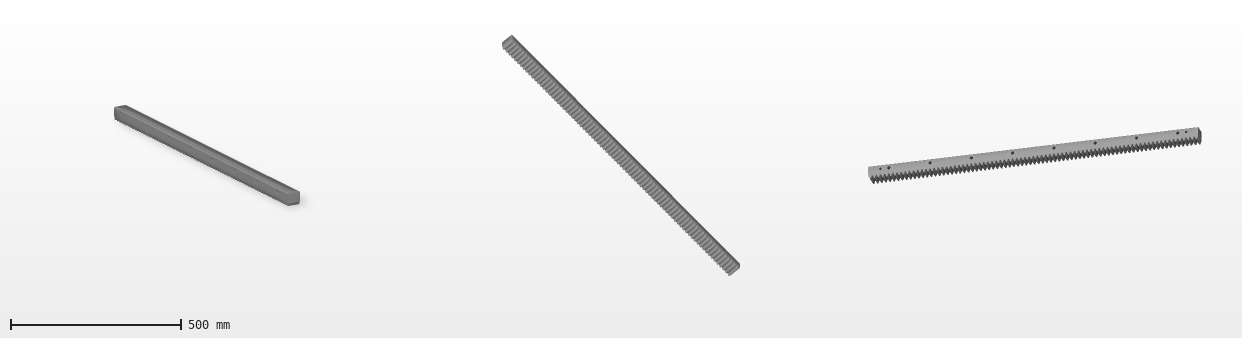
import cadquery as cq
import math


module = 4.0
pressure_angle = math.radians(20)
tooth_count = 80
pitch = math.pi * module
addendum = module
dedendum = 1.25 * module

nominal_length = tooth_count * pitch
length = 1004.58
width = 39.0
height = 39.0
edge_chamfer = 2.0

hole_depth_from_top = 12.0
screw_hole_diameter = 10.0
screw_hole_count = 8
screw_hole_spacing = 10 * pitch
dowel_hole_diameter = 7.7
dowel_hole_end_distance = 37.4

pitch_line_z = addendum
root_z = addendum + dedendum
hole_z = height - hole_depth_from_top


def tooth_center_x(index):
    """X of a tooth, with the row of teeth centred on X = 0."""
    return (index - (tooth_count - 1) / 2) * pitch


def tooth_half_width(z):
    """Half the thickness of a straight-flanked tooth at level z."""
    return pitch / 4 + (z - pitch_line_z) * math.tan(pressure_angle)


def rack_profile():
    """Side outline in XZ: plain top and ends, teeth along the bottom."""
    root_half = tooth_half_width(root_z)
    tip_half = tooth_half_width(0)
    points = [(-length / 2, height), (-length / 2, root_z)]
    for index in range(tooth_count):
        x = tooth_center_x(index)
        points.append((x - root_half, root_z))
        points.append((x - tip_half, 0))
        points.append((x + tip_half, 0))
        points.append((x + root_half, root_z))
    points += [(length / 2, root_z), (length / 2, height)]
    return points


def make_bar():
    """Toothed bar centred in Y, with its front top edge chamfered."""
    bar = cq.Workplane("XZ").polyline(rack_profile()).close().extrude(width / 2, both=True)
    return bar.faces(">Z").edges("<Y").chamfer(edge_chamfer)


def cross_holes(x_positions, diameter):
    """Cylinders along Y, through the full width, at the hole level."""
    centers = [(x, hole_z) for x in x_positions]
    return cq.Workplane("XZ").pushPoints(centers).circle(diameter / 2).extrude(width, both=True)


screw_xs = [(i - (screw_hole_count - 1) / 2) * screw_hole_spacing for i in range(screw_hole_count)]
dowel_offset = nominal_length / 2 - dowel_hole_end_distance
dowel_xs = [-dowel_offset, dowel_offset]

result = make_bar()
result = result.cut(cross_holes(screw_xs, screw_hole_diameter))
result = result.cut(cross_holes(dowel_xs, dowel_hole_diameter))